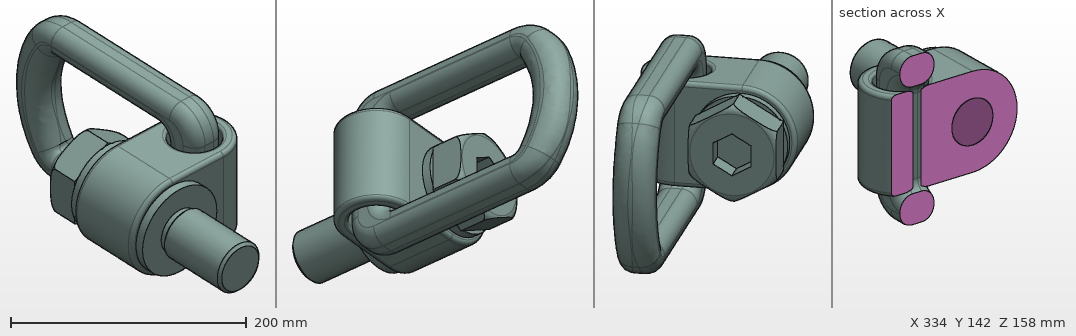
import cadquery as cq
import math


BARREL_RADIUS = 47.5
HOUSING_HALF_LENGTH = 36.0
HOUSING_FILLET = 4.0
EYE_Y = 58.5
EYE_RADIUS = 24.0
EYE_RIM_FILLET = 3.0

SWIVEL_GAP = 0.7

HEAD_ACROSS_FLATS = 76.0
HEAD_LENGTH = 30.7
HEAD_ROUNDING = 7.5
SOCKET_ACROSS_FLATS = 32.7
SOCKET_DEPTH = 18.5
COLLAR_RADIUS = 41.8
COLLAR_LENGTH = 8.5
SHANK_RADIUS = 21.5
NECK_LENGTH = 5.5
THREAD_RADIUS = 24.0
THREAD_LEAD_IN = 1.7
THREAD_END_CHAMFER = 2.7
BOLT_END_X = 121.0

WASHER_RADIUS = 42.8
WASHER_THICKNESS = 8.5

RING_LEFT_X = -213.0
RING_RIGHT_X = 18.7
RING_HEIGHT = 158.0
RING_DEPTH = 36.5
RING_FILLET = 13.5
LEG_WIDTH = 27.7
END_BAR_WIDTH = 36.7
END_OUTER_RADIUS = 30.5
END_INNER_RADIUS = 11.5
BOW_RADIUS = 99.0
BOW_CORNER_RADIUS = 22.0
BOW_WIDTH = 36.0
BOW_FILLET = 16.0
BOW_CORNER_WIDTH = 29.5
BOW_JOINT_WIDTH = 33.5
BOW_JOINT_FILLET = 15.5

HEX_CORNER_RATIO = 2 / math.sqrt(3)


def disc(radius, start_x, end_x):
    """Cylinder on the bolt axis between two X positions."""
    return cq.Workplane("YZ", origin=(start_x, 0, 0)).circle(radius).extrude(end_x - start_x)


def hex_prism(across_flats, start_x, length):
    """Hexagonal prism along X with corners pointing up and down."""
    hexagon = cq.Workplane("YZ", origin=(start_x, 0, 0)).transformed(rotate=(0, 0, 90))
    return hexagon.polygon(6, across_flats * HEX_CORNER_RATIO).extrude(length)


def make_housing():
    lobe_end_y = EYE_Y + HOUSING_HALF_LENGTH
    barrel = (
        cq.Workplane("YZ", origin=(-HOUSING_HALF_LENGTH, 0, 0))
        .moveTo(lobe_end_y, BARREL_RADIUS)
        .lineTo(0, BARREL_RADIUS)
        .threePointArc((-BARREL_RADIUS, 0), (0, -BARREL_RADIUS))
        .lineTo(lobe_end_y, -BARREL_RADIUS)
        .close()
        .extrude(2 * HOUSING_HALF_LENGTH)
    )
    side_profile = (
        cq.Workplane("XY", origin=(0, 0, -BARREL_RADIUS))
        .moveTo(-HOUSING_HALF_LENGTH, -BARREL_RADIUS)
        .lineTo(HOUSING_HALF_LENGTH, -BARREL_RADIUS)
        .lineTo(HOUSING_HALF_LENGTH, EYE_Y)
        .threePointArc((0, lobe_end_y), (-HOUSING_HALF_LENGTH, EYE_Y))
        .close()
        .extrude(2 * BARREL_RADIUS)
    )
    body = barrel.intersect(side_profile)
    body = body.edges("%CIRCLE or |Y").fillet(HOUSING_FILLET)

    eye = cq.Workplane("XY", origin=(0, EYE_Y, -BARREL_RADIUS)).circle(EYE_RADIUS).extrude(2 * BARREL_RADIUS)
    body = body.cut(eye)
    rim_box = cq.selectors.BoxSelector(
        (-EYE_RADIUS / 2, EYE_Y - EYE_RADIUS / 2, -2 * BARREL_RADIUS),
        (EYE_RADIUS / 2, EYE_Y + EYE_RADIUS / 2, 2 * BARREL_RADIUS),
    )
    body = body.edges("%CIRCLE").edges(rim_box).fillet(EYE_RIM_FILLET)

    return body.cut(disc(SHANK_RADIUS, -HOUSING_HALF_LENGTH, HOUSING_HALF_LENGTH))


def make_washer():
    start_x = HOUSING_HALF_LENGTH + SWIVEL_GAP
    end_x = start_x + WASHER_THICKNESS
    return disc(WASHER_RADIUS, start_x, end_x).cut(disc(SHANK_RADIUS, start_x, end_x))


def make_bolt():
    collar_end_x = -HOUSING_HALF_LENGTH - SWIVEL_GAP
    collar_x = collar_end_x - COLLAR_LENGTH
    head_x = collar_x - HEAD_LENGTH
    thread_x = HOUSING_HALF_LENGTH + SWIVEL_GAP + WASHER_THICKNESS + NECK_LENGTH

    head_corner_radius = HEAD_ACROSS_FLATS * HEX_CORNER_RATIO / 2
    rounding = disc(head_corner_radius, head_x, collar_x).faces("<X").edges().fillet(HEAD_ROUNDING)
    head = hex_prism(HEAD_ACROSS_FLATS, head_x, HEAD_LENGTH).intersect(rounding)
    head = head.cut(hex_prism(SOCKET_ACROSS_FLATS, head_x, SOCKET_DEPTH))

    collar = disc(COLLAR_RADIUS, collar_x, collar_end_x)
    shank = disc(SHANK_RADIUS, collar_end_x, thread_x)
    thread = disc(THREAD_RADIUS, thread_x, BOLT_END_X)
    lead_in_height = THREAD_RADIUS - SHANK_RADIUS
    thread = thread.faces("<X").edges().chamfer(THREAD_LEAD_IN, lead_in_height)
    thread = thread.faces(">X").edges().chamfer(THREAD_END_CHAMFER)
    return head.union(collar).union(shank).union(thread)


def ring_section(x, z, across_angle, width, fillet):
    """Rounded rectangle across the ring; its width lies in the ring plane at across_angle degrees from +X."""
    angle = math.radians(across_angle)
    across = cq.Vector(math.cos(angle), 0, math.sin(angle))
    plane = cq.Plane(origin=(x, EYE_Y, z), xDir=across, normal=across.cross(cq.Vector(0, 1, 0)))
    outline = cq.Sketch().rect(width, RING_DEPTH).vertices().fillet(fillet)
    return outline.moved(cq.Location(plane))


def make_ring():
    leg_center_z = RING_HEIGHT / 2 - LEG_WIDTH / 2

    bow_left_x = RING_LEFT_X + BOW_WIDTH / 2
    bow_center_x = bow_left_x + BOW_RADIUS
    corner_center_z = leg_center_z - BOW_CORNER_RADIUS
    joint_sine = corner_center_z / (BOW_RADIUS - BOW_CORNER_RADIUS)
    joint_angle = math.degrees(math.asin(joint_sine))
    joint_cosine = math.cos(math.radians(joint_angle))
    joint_x = bow_center_x - BOW_RADIUS * joint_cosine
    joint_z = BOW_RADIUS * joint_sine
    leg_start_x = bow_center_x - (BOW_RADIUS - BOW_CORNER_RADIUS) * joint_cosine
    corner_mid_angle = math.radians((joint_angle + 90) / 2)
    corner_mid_x = leg_start_x - BOW_CORNER_RADIUS * math.cos(corner_mid_angle)
    corner_mid_z = corner_center_z + BOW_CORNER_RADIUS * math.sin(corner_mid_angle)
    path = (
        cq.Workplane("XZ", origin=(0, EYE_Y, 0))
        .moveTo(leg_start_x, leg_center_z)
        .threePointArc((corner_mid_x, corner_mid_z), (joint_x, joint_z))
        .threePointArc((bow_left_x, 0), (joint_x, -joint_z))
        .threePointArc((corner_mid_x, -corner_mid_z), (leg_start_x, -leg_center_z))
    )

    corner_angle = math.degrees(corner_mid_angle)
    stations = [
        (leg_start_x, leg_center_z, 90, LEG_WIDTH, RING_FILLET),
        (corner_mid_x, corner_mid_z, 180 - corner_angle, BOW_CORNER_WIDTH, RING_FILLET),
        (joint_x, joint_z, 180 - joint_angle, BOW_JOINT_WIDTH, BOW_JOINT_FILLET),
        (bow_left_x, 0, 180, BOW_WIDTH, BOW_FILLET),
        (joint_x, -joint_z, 180 + joint_angle, BOW_JOINT_WIDTH, BOW_JOINT_FILLET),
        (corner_mid_x, -corner_mid_z, 180 + corner_angle, BOW_CORNER_WIDTH, RING_FILLET),
        (leg_start_x, -leg_center_z, 270, LEG_WIDTH, RING_FILLET),
    ]
    sections = [ring_section(*station) for station in stations]
    bow = cq.Workplane("XY").placeSketch(*sections).sweep(path, multisection=True)

    return bow.union(make_ring_end(leg_start_x))


def make_ring_end(start_x):
    """Both straight legs and the end bar through the eye, with every long edge rounded."""
    blank = rounded_end_plate(start_x, RING_RIGHT_X, RING_HEIGHT / 2, END_OUTER_RADIUS)
    window = rounded_end_plate(
        start_x, RING_RIGHT_X - END_BAR_WIDTH, RING_HEIGHT / 2 - LEG_WIDTH, END_INNER_RADIUS
    )
    return blank.cut(window).faces("<Y or >Y").edges("not <X").fillet(RING_FILLET)


def rounded_end_plate(start_x, end_x, half_height, corner_radius):
    plate = cq.Workplane("XY").box(end_x - start_x, RING_DEPTH, 2 * half_height)
    plate = plate.translate(((start_x + end_x) / 2, EYE_Y, 0))
    return plate.edges("|Y and >X").fillet(corner_radius)


housing = make_housing()
washer = make_washer()
bolt = make_bolt()
ring = make_ring()

result = cq.Compound.makeCompound([housing.val(), washer.val(), bolt.val(), ring.val()])